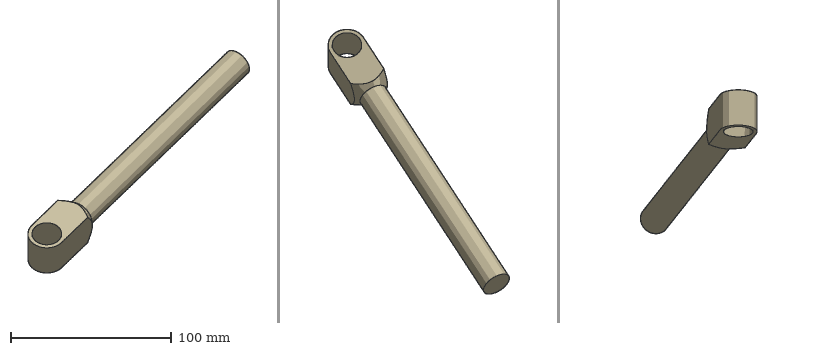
import cadquery as cq

total_length = 206.8
head_width = 23.5
head_length = 45.7
rod_diameter = 18.5
eye_diameter = 18.5

envelope_diameter = 35.1
cone_length = (envelope_diameter - rod_diameter) / 2

eye_radius = head_width / 2
shoulder_y = head_length - eye_radius
rod_end_y = total_length - eye_radius


def eye_head():
    """Square bar with a rounded front end, centred on the eye axis."""
    outline = (
        cq.Workplane("XY", origin=(0, 0, -head_width / 2))
        .moveTo(-eye_radius, shoulder_y)
        .lineTo(-eye_radius, 0)
        .threePointArc((0, -eye_radius), (eye_radius, 0))
        .lineTo(eye_radius, shoulder_y)
        .close()
    )
    return outline.extrude(head_width)


def turned_envelope():
    """Cylinder around the head, tapering to the rod, that trims the head's corners."""
    profile = [
        (0, -eye_radius),
        (envelope_diameter / 2, -eye_radius),
        (envelope_diameter / 2, shoulder_y - cone_length),
        (rod_diameter / 2, shoulder_y),
        (0, shoulder_y),
    ]
    return cq.Workplane("XY").polyline(profile).close().revolve(360, (0, 0, 0), (0, 1, 0))


def rod():
    """Plain round rod from the head's shoulder to the far end."""
    start = cq.Workplane("XZ", origin=(0, shoulder_y, 0))
    return start.circle(rod_diameter / 2).extrude(shoulder_y - rod_end_y)


def eye_hole():
    """Cylinder that cuts the eye through the head."""
    return cq.Workplane("XY").circle(eye_diameter / 2).extrude(head_width, both=True)


head = eye_head().intersect(turned_envelope())
result = head.union(rod()).cut(eye_hole())